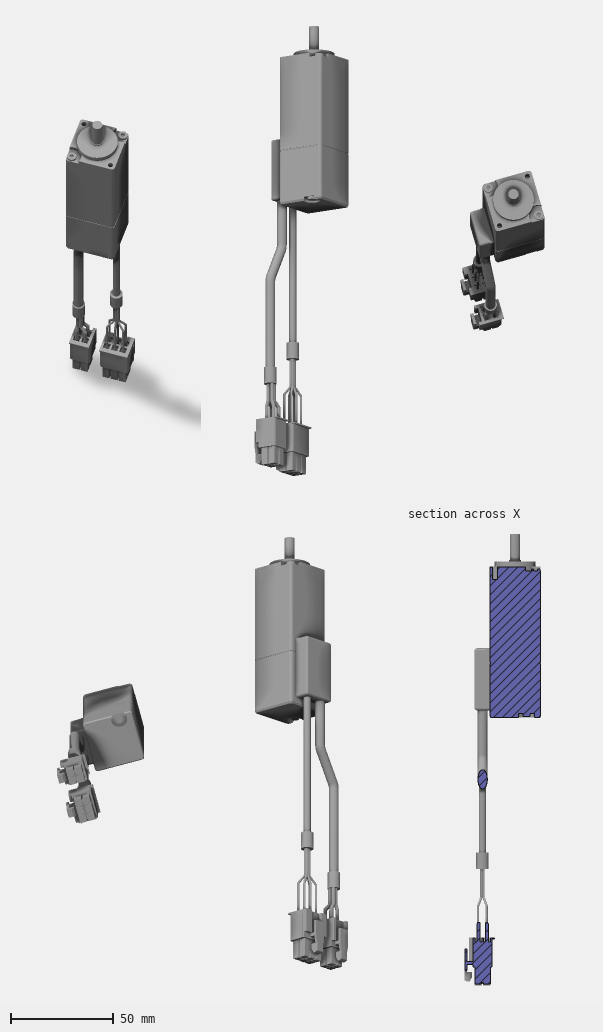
import cadquery as cq
import math


frame_size = 25.0
half_frame = frame_size / 2
frame_edge_radius = 1.5
frame_joint_z = -41.5
groove_z = -47.2
groove_width = 0.7
groove_depth = 0.2
frame_bottom_z = -74.0
bottom_chamfer_height = 1.0
bottom_chamfer_width = 0.5

pilot_diameter = 20.0
pilot_height = 2.5
collar_diameter = 5.7
collar_top_z = 3.2
shaft_diameter = 5.0
shaft_top_z = 16.0

corner_offset = 10.0
mount_hole_diameter = 2.5
mount_hole_depth = 6.0
corner_recess_radius = 4.9
corner_recess_depth = 2.0
screw_head_diameter = 4.5
screw_head_height = 1.2
screw_socket_size = 2.3
screw_socket_depth = 1.0
rear_screw_y = -5.5
rear_recess_radius = 3.9
rear_recess_depth = 1.9
rear_screw_diameter = 4.0
rear_screw_height = 1.3

outlet_width = 18.0
outlet_outer_y = 19.8
outlet_top_z = -40.0
outlet_bottom_z = -70.4
outlet_fillet = 1.1
outlet_shoulder_y = 14.2
outlet_shoulder_height = 1.5

cable_y = 15.95
cable_x = 4.7
encoder_cable_diameter = 4.8
power_cable_diameter = 3.5
cable_shift = 10.0
shift_angle = 60.0
shift_start_z = -93.9
elbow_setback = 1.6
sleeve_diameter = 6.2
sleeve_length = 8.2
encoder_sleeve_z = -156.0
power_sleeve_z = -140.0
cable_embed = 1.0

encoder_wire_diameter = 1.8
encoder_wire_gap = 1.75
encoder_row_gap = 2.4
encoder_fan_z = -172.6
encoder_spread_z = -175.5
power_wire_diameter = 1.1
power_wire_gap = 1.03
power_fan_z = -162.0
power_spread_z = -166.2

pitch = 4.2
housing_depth = 9.6
housing_top_z = -181.7
housing_bottom_z = -196.2
housing_chamfer = 0.6
lip_reach = 1.2
lip_height = 0.7
contact_recess_size = 3.2
contact_recess_depth = 2.0
plug_cell_size = 3.5
plug_web_inset = 1.0
plug_web_clearance = 0.8
plug_embed = 0.5
latch_width = 5.6
hook_width = 4.0
latch_gap = 0.7
ear_y = 22.4
ear_bottom_z = -193.4
latch_outer_y = 24.7
latch_inner_y = 23.4
latch_top_z = -187.2
latch_bottom_z = -202.7
latch_bridge_bottom_z = -195.0
hook_y = 21.0
hook_top_z = -198.6
hook_knee_z = -201.2
hook_tip_y = 22.2
hook_tip_z = -203.4

encoder_housing_x = -12.75
encoder_housing_width = 10.2
encoder_plug_bottom_z = -204.6
power_housing_x = 4.95
power_housing_width = 14.5
power_plug_bottom_z = -205.26
rib_reach_x = half_frame
rib_y = 19.5
rib_thickness = 0.8


def box_between(x0, x1, y0, y1, z0, z1):
    """Axis-aligned block between two opposite corners."""
    return cq.Workplane("XY").box(x1 - x0, y1 - y0, z1 - z0, centered=False).translate((x0, y0, z0))


def cylinder_between(x, y, z0, z1, diameter):
    """Vertical cylinder from z0 up to z1."""
    return cq.Workplane("XY", origin=(x, y, z0)).circle(diameter / 2).extrude(z1 - z0)


def join(*parts):
    """Union that keeps the joint lines between flush neighbouring faces."""
    joined = parts[0]
    for part in parts[1:]:
        joined = joined.union(part, clean=False)
    return joined


def frame_section(z0, z1, inset=0.0):
    """Length of square motor frame with rounded vertical edges."""
    side = frame_size - 2 * inset
    block = cq.Workplane("XY", origin=(0, 0, z0)).rect(side, side).extrude(z1 - z0)
    return block.edges("|Z").fillet(frame_edge_radius - inset)


def mounting_corners(frame):
    """Screwed recesses at two opposite corners and tapped holes at the other two."""
    pilot_core = cylinder_between(0, 0, -corner_recess_depth, 0, pilot_diameter)
    for sign in (-1, 1):
        x = y = sign * corner_offset
        recess = cylinder_between(x, y, -corner_recess_depth, 0, 2 * corner_recess_radius)
        frame = frame.cut(recess.cut(pilot_core), clean=False)
        head_top_z = screw_head_height - corner_recess_depth
        head = cylinder_between(x, y, -corner_recess_depth, head_top_z, screw_head_diameter)
        head = head.faces(">Z").workplane().polygon(6, screw_socket_size).cutBlind(-screw_socket_depth)
        frame = join(frame, head)
        hole = cylinder_between(x, -y, -mount_hole_depth, 0, mount_hole_diameter)
        frame = frame.cut(hole, clean=False)
    return frame


def rear_screw(frame):
    """Recess in the rear edge, open to the -X side, with its screw head."""
    recess_top_z = frame_bottom_z + rear_recess_depth
    x = -corner_offset
    recess = cylinder_between(x, rear_screw_y, frame_bottom_z, recess_top_z, 2 * rear_recess_radius)
    head_bottom_z = recess_top_z - rear_screw_height
    head = cylinder_between(x, rear_screw_y, head_bottom_z, recess_top_z, rear_screw_diameter)
    return join(frame.cut(recess, clean=False), head)


def motor():
    groove_top_z = groove_z + groove_width / 2
    groove_bottom_z = groove_z - groove_width / 2
    rear_cover = frame_section(frame_bottom_z, groove_bottom_z).faces("<Z").edges().chamfer(
        bottom_chamfer_height, bottom_chamfer_width
    )
    frame = join(
        frame_section(frame_joint_z, 0),
        frame_section(groove_top_z, frame_joint_z),
        frame_section(groove_bottom_z, groove_top_z, groove_depth),
        rear_cover,
    )
    frame = rear_screw(mounting_corners(frame))
    return join(
        frame,
        cylinder_between(0, 0, 0, pilot_height, pilot_diameter),
        cylinder_between(0, 0, pilot_height, collar_top_z, collar_diameter),
        cylinder_between(0, 0, collar_top_z, shaft_top_z, shaft_diameter),
    )


def cable_outlet():
    """Rounded box with a square shoulder along its top edge next to the motor."""
    half_width = outlet_width / 2
    shell = box_between(-half_width, half_width, half_frame, outlet_outer_y, outlet_bottom_z, outlet_top_z)
    shell = shell.edges("not <Y").fillet(outlet_fillet)
    shoulder_z = outlet_top_z - outlet_shoulder_height
    shoulder = box_between(-half_width, half_width, half_frame, outlet_shoulder_y, shoulder_z, outlet_top_z)
    return join(shell, shoulder)


def encoder_cable():
    """Cable that steps sideways in -X between two elbows."""
    top_z = outlet_bottom_z + cable_embed
    x0 = -cable_x
    x1 = x0 - cable_shift
    shift_end_z = shift_start_z - cable_shift * math.tan(math.radians(shift_angle))
    dx = elbow_setback * math.cos(math.radians(shift_angle))
    dz = elbow_setback * math.sin(math.radians(shift_angle))
    path = (
        cq.Workplane("XZ", origin=(0, cable_y, 0))
        .moveTo(x0, top_z)
        .lineTo(x0, shift_start_z + elbow_setback)
        .tangentArcPoint((x0 - dx, shift_start_z - dz), relative=False)
        .lineTo(x1 + dx, shift_end_z + dz)
        .tangentArcPoint((x1, shift_end_z - elbow_setback), relative=False)
        .lineTo(x1, encoder_sleeve_z - cable_embed)
    )
    section = cq.Workplane("XY", origin=(x0, cable_y, top_z)).circle(encoder_cable_diameter / 2)
    return section.sweep(path)


def sleeve(x, top_z):
    return cylinder_between(x, cable_y, top_z - sleeve_length, top_z, sleeve_diameter)


def wire(points, diameter):
    """Round wire through the points, with ball joints at the bends."""
    vectors = [cq.Vector(*point) for point in points]
    strand = None
    for start, end in zip(vectors, vectors[1:]):
        run = end - start
        straight = cq.Workplane(cq.Solid.makeCylinder(diameter / 2, run.Length, start, run))
        strand = straight if strand is None else join(strand, straight)
    for bend in vectors[1:-1]:
        strand = join(strand, cq.Workplane("XY").sphere(diameter / 2).translate(bend.toTuple()))
    return strand


def cell_centres(centre_x, columns):
    """Centres of the two contact rows of a connector."""
    first_x = centre_x - pitch * (columns - 1) / 2
    rows = (cable_y - pitch / 2, cable_y + pitch / 2)
    return [(first_x + pitch * column, y) for column in range(columns) for y in rows]


def wire_fan(cells, bundle_x, bundle_gap, row_gap, sleeve_top_z, fan_z, spread_z, diameter):
    """Wires that leave the sleeve in a tight bundle and spread to the contact cells."""
    columns = sorted({x for x, _ in cells})
    first_bundle_x = bundle_x - bundle_gap * (len(columns) - 1) / 2
    start_z = sleeve_top_z - sleeve_length + cable_embed
    end_z = housing_top_z - contact_recess_depth - plug_embed
    strands = []
    for x, y in cells:
        start_x = first_bundle_x + bundle_gap * columns.index(x)
        start_y = cable_y + math.copysign(row_gap / 2, y - cable_y)
        route = [(start_x, start_y, start_z), (start_x, start_y, fan_z), (x, y, spread_z), (x, y, end_z)]
        strands.append(wire(route, diameter))
    return strands


def latch(centre_x, housing_width, back_y):
    """Hooked arm on the +Y side of a connector, narrowed below its bridge, between two ears."""
    ear_inner = latch_width / 2 + latch_gap
    ear_outer = housing_width / 2
    ears = [
        box_between(centre_x + x0, centre_x + x1, back_y, ear_y, ear_bottom_z, housing_top_z)
        for x0, x1 in ((-ear_outer, -ear_inner), (ear_inner, ear_outer))
    ]
    side_outline = [
        (latch_outer_y, latch_top_z),
        (latch_inner_y, latch_top_z),
        (latch_inner_y, ear_bottom_z),
        (back_y, ear_bottom_z),
        (back_y, latch_bridge_bottom_z),
        (latch_inner_y, latch_bridge_bottom_z),
        (latch_inner_y, hook_top_z),
        (hook_y, hook_top_z),
        (hook_y, hook_knee_z),
        (hook_tip_y, hook_tip_z),
        (latch_inner_y, hook_tip_z),
        (latch_outer_y, latch_bottom_z),
    ]
    arm = (
        cq.Workplane("YZ", origin=(centre_x - latch_width / 2, 0, 0))
        .polyline(side_outline)
        .close()
        .extrude(latch_width)
    )
    front_outline = [
        (centre_x - latch_width / 2, latch_top_z),
        (centre_x + latch_width / 2, latch_top_z),
        (centre_x + latch_width / 2, latch_bridge_bottom_z),
        (centre_x + hook_width / 2, hook_top_z),
        (centre_x + hook_width / 2, hook_tip_z),
        (centre_x - hook_width / 2, hook_tip_z),
        (centre_x - hook_width / 2, hook_top_z),
        (centre_x - latch_width / 2, latch_bridge_bottom_z),
    ]
    front_prism = (
        cq.Workplane("XZ", origin=(0, latch_outer_y, 0))
        .polyline(front_outline)
        .close()
        .extrude(latch_outer_y - back_y)
    )
    return join(arm.intersect(front_prism), *ears)


def connector(centre_x, housing_width, cells, plug_bottom_z):
    """Two-row housing with a front lip, a rear latch and a plug of square cells."""
    x0 = centre_x - housing_width / 2
    x1 = centre_x + housing_width / 2
    front_y = cable_y - housing_depth / 2
    back_y = cable_y + housing_depth / 2
    housing = box_between(x0, x1, front_y, back_y, housing_bottom_z, housing_top_z)
    housing = housing.edges("|Z and <Y").chamfer(housing_chamfer)
    recesses = (
        cq.Workplane("XY", origin=(0, 0, housing_top_z))
        .pushPoints(cells)
        .rect(contact_recess_size, contact_recess_size)
        .extrude(-contact_recess_depth)
    )
    plug_top_z = housing_bottom_z + plug_embed
    plug = (
        cq.Workplane("XY", origin=(0, 0, plug_bottom_z))
        .pushPoints(cells)
        .rect(plug_cell_size, plug_cell_size)
        .extrude(plug_top_z - plug_bottom_z)
    )
    columns = len(cells) // 2
    plug_x = (cells[0][0] + cells[-1][0]) / 2
    web_size = plug_cell_size - 2 * plug_web_inset
    web = (
        cq.Workplane("XY", origin=(plug_x, cable_y, plug_bottom_z + plug_web_clearance))
        .rect(pitch * (columns - 1) + web_size, pitch + web_size)
        .extrude(plug_top_z - plug_bottom_z - plug_web_clearance)
    )
    lip_back_y = front_y + housing_chamfer
    lip = box_between(x0, x1, front_y - lip_reach, lip_back_y, housing_top_z - lip_height, housing_top_z)
    body = join(housing, lip).cut(recesses, clean=False)
    return join(body, latch(centre_x, housing_width, back_y), plug, web)


def encoder_lead():
    x = -cable_x - cable_shift
    cells = cell_centres(encoder_housing_x, 2)
    bundle_x = cells[0][0] + encoder_wire_gap / 2
    wires = wire_fan(
        cells,
        bundle_x,
        encoder_wire_gap,
        encoder_row_gap,
        encoder_sleeve_z,
        encoder_fan_z,
        encoder_spread_z,
        encoder_wire_diameter,
    )
    housing = connector(encoder_housing_x, encoder_housing_width, cells, encoder_plug_bottom_z)
    return join(encoder_cable(), sleeve(x, encoder_sleeve_z), *wires, housing)


def power_lead():
    cable_top_z = outlet_bottom_z + cable_embed
    cable_bottom_z = power_sleeve_z - cable_embed
    cable = cylinder_between(cable_x, cable_y, cable_bottom_z, cable_top_z, power_cable_diameter)
    cells = cell_centres(cable_x, 3)
    wires = wire_fan(
        cells,
        cable_x,
        power_wire_gap,
        power_wire_gap,
        power_sleeve_z,
        power_fan_z,
        power_spread_z,
        power_wire_diameter,
    )
    housing = connector(power_housing_x, power_housing_width, cells, power_plug_bottom_z)
    rib = box_between(
        power_housing_x + power_housing_width / 2 - rib_thickness,
        rib_reach_x,
        rib_y - rib_thickness / 2,
        rib_y + rib_thickness / 2,
        housing_bottom_z,
        housing_top_z - contact_recess_depth,
    )
    return join(cable, sleeve(cable_x, power_sleeve_z), *wires, housing, rib)


result = join(motor(), cable_outlet(), encoder_lead(), power_lead())